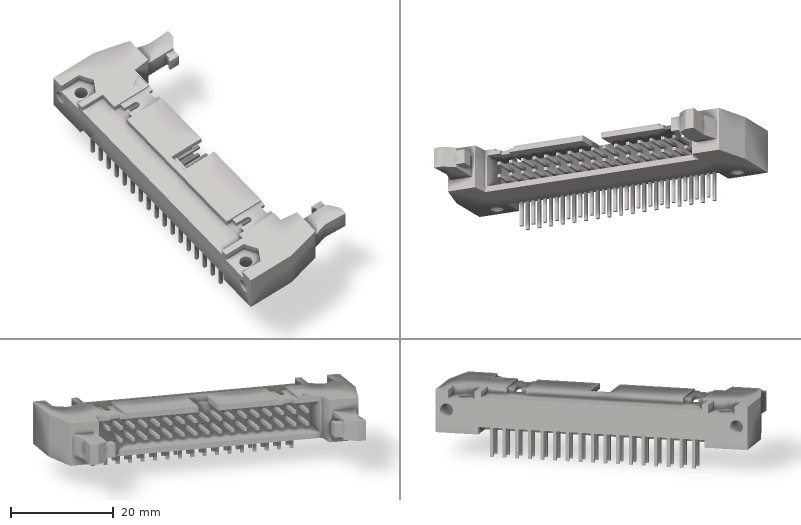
import cadquery as cq
import math


length = 62.8
half_length = length / 2
height = 8.55
shell_front = 13.7
wall = 1.1
cavity_floor = 7.5
cavity_half_width = 22.8

tower_front = 17.35
taper_start = 9.9
tower_tip_outer = 29.5
tower_tip_inner = 23.6
tower_root_inner = 23.25

columns = 17
column_span = 40.7
pitch = column_span / (columns - 1)
pin_size = 0.6
tail_length = 4.45
rear_tail_y = 1.1
tail_rows = (rear_tail_y, rear_tail_y + pitch)
tip_setback = 0.2
pin_end = shell_front - tip_setback

ledge_half_width = 22.2
ledge_depth_y = 5.1
key_width = 4.0
key_end = 6.35
relief_centers = (-6.5 * pitch, 7.5 * pitch)
relief_width = 3.95
relief_depth = 0.4
shoulder_end = 6.5
step_depth = 1.25
slot_width = 1.4
slot_end = 9.55
edge_notch_width = 1.95
edge_notch_depth = 0.95
mark_width = 2.65
mark_tip = 11.1
mark_setback = 0.2
mark_base = shell_front - mark_setback
mark_depth = 0.2

mount_x = 26.2
mount_y = 2.8
hole_diameter = 2.6
nut_flats = 5.35
nut_depth = 1.7
rear_hole_x = 29.2
rear_hole_z = 4.5
rear_hole_depth = 5.0

tail_relief_half_width = 22.8
tail_relief_height = 1.5
tail_relief_depth = 5.0

latch_bottom = 2.25
latch_height = 4.0
latch_tip = 25.75
latch_inner = 24.3
latch_embed = 1.25
latch_root = tower_front - latch_embed
hook_inset = 0.6
hook_top = 24.05
hook_bottom = 22.15
hook_tip = 22.5
hook_lip_width = 0.55
hook_lip_bottom = 21.8
nose_x = 26.5
tip_outer = 28.25
grip_waist_x = 28.0
grip_waist_y = 20.85
latch_root_outer = 29.0


def block(x0, x1, y0, y1, z0, z1):
    """Axis-aligned box between opposite corners."""
    return cq.Workplane("XY").box(x1 - x0, y1 - y0, z1 - z0, centered=False).translate((x0, y0, z0))


def plate(points, z0, thickness):
    """Closed polygon in XY, raised along +Z from z0."""
    return cq.Workplane("XY").workplane(offset=z0).polyline(points).close().extrude(thickness)


def both_ends(shape):
    """The shape and its mirror image on the other end of the header."""
    return shape.union(shape.mirror("YZ"))


def housing():
    right_side = [
        (half_length, 0),
        (half_length, taper_start),
        (tower_tip_outer, tower_front),
        (tower_tip_inner, tower_front),
        (tower_root_inner, shell_front),
    ]
    left_side = [(-x, y) for x, y in reversed(right_side)]
    body = plate(right_side + left_side, 0, height)
    cavity = block(-cavity_half_width, cavity_half_width, cavity_floor, shell_front, wall, height - wall)
    ledge = block(-ledge_half_width, ledge_half_width, 0, ledge_depth_y, height - wall, height)
    tail_relief = block(
        -tail_relief_half_width, tail_relief_half_width, 0, tail_relief_depth, 0, tail_relief_height
    )
    key = block(-key_width / 2, key_width / 2, key_end, shell_front, height - wall, height)
    return body.cut(cavity).cut(ledge).cut(tail_relief).cut(key)


def strain_relief_recess(center_x):
    """Shallow channel with a stepped rear, a round-ended slot and a notch in the mating edge."""
    def centered(width, y0, y1, depth):
        return block(center_x - width / 2, center_x + width / 2, y0, y1, height - depth, height)

    channel = centered(relief_width, ledge_depth_y, shell_front, relief_depth)
    step = centered(relief_width, ledge_depth_y, shoulder_end, step_depth)
    arc_center = slot_end - slot_width / 2
    slot = centered(slot_width, ledge_depth_y, arc_center, step_depth)
    slot_tip = (
        cq.Workplane("XY")
        .workplane(offset=height - wall)
        .center(center_x, arc_center)
        .circle(slot_width / 2)
        .extrude(wall)
    )
    notch = centered(edge_notch_width, shell_front - edge_notch_depth, shell_front, wall)
    return channel.union(step).union(slot).union(slot_tip).union(notch)


def first_pin_mark():
    """Engraved triangle pointing away from the mating edge over the first column."""
    x = -column_span / 2
    corners = [(x - mark_width / 2, mark_base), (x + mark_width / 2, mark_base), (x, mark_tip)]
    return plate(corners, height - mark_depth, mark_depth)


def mounting_cut():
    """Vertical screw hole, hexagonal nut pocket open to the rear, and blind rear hole."""
    seat = height - nut_depth
    hole = cq.Workplane("XY").center(mount_x, mount_y).circle(hole_diameter / 2).extrude(height)
    nut_circle = nut_flats / math.cos(math.pi / 6)
    nut = (
        cq.Workplane("XY")
        .polygon(6, nut_circle)
        .extrude(nut_depth)
        .rotate((0, 0, 0), (0, 0, 1), 30)
        .translate((mount_x, mount_y, seat))
    )
    entry = block(mount_x - nut_flats / 2, mount_x + nut_flats / 2, 0, mount_y, seat, height)
    rear_hole = (
        cq.Workplane("XZ")
        .center(rear_hole_x, rear_hole_z)
        .circle(hole_diameter / 2)
        .extrude(-rear_hole_depth)
    )
    return both_ends(hole.union(nut).union(entry).union(rear_hole))


def latches():
    arm_outline = [
        (latch_inner, latch_root),
        (latch_inner, hook_top),
        (nose_x, latch_tip),
        (tip_outer, latch_tip),
        (grip_waist_x, grip_waist_y),
        (latch_root_outer, tower_front),
        (latch_root_outer, latch_root),
    ]
    lip_inner = hook_tip + hook_lip_width
    hook_outline = [
        (latch_inner, hook_top),
        (hook_tip, hook_top),
        (hook_tip, hook_lip_bottom),
        (lip_inner, hook_lip_bottom),
        (lip_inner, hook_bottom),
        (latch_inner, hook_bottom),
    ]
    arm = plate(arm_outline, latch_bottom, latch_height)
    hook = plate(hook_outline, latch_bottom + hook_inset, latch_height - 2 * hook_inset)
    return both_ends(arm.union(hook))


def contacts():
    """Mating pins in the cavity and tails below the housing, two rows of each."""
    embed = pin_size / 2
    column_x = [i * pitch - column_span / 2 for i in range(columns)]
    mating_rows = (height / 2 - pitch / 2, height / 2 + pitch / 2)
    mating_points = [(x, z) for x in column_x for z in mating_rows]
    tail_points = [(x, y) for x in column_x for y in tail_rows]
    mating = (
        cq.Workplane("XZ")
        .workplane(offset=-(cavity_floor - embed))
        .pushPoints(mating_points)
        .rect(pin_size, pin_size)
        .extrude(-(pin_end - cavity_floor + embed))
    )
    tails = (
        cq.Workplane("XY")
        .workplane(offset=-tail_length)
        .pushPoints(tail_points)
        .rect(pin_size, pin_size)
        .extrude(tail_length + tail_relief_height + embed)
    )
    return mating, tails


result = housing().cut(mounting_cut()).cut(first_pin_mark())
for center in relief_centers:
    result = result.cut(strain_relief_recess(center))
result = result.union(latches())
for pins in contacts():
    result = result.union(pins)